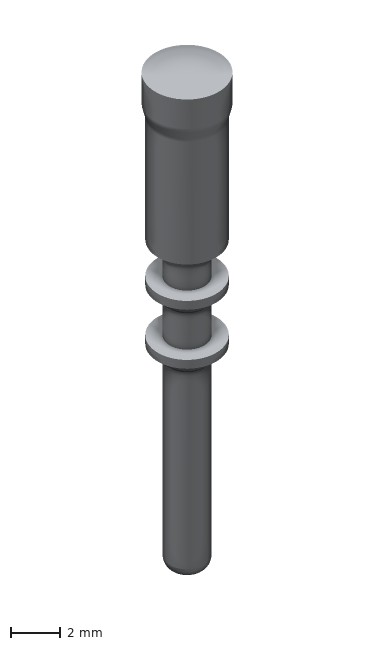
import math

import cadquery as cq

total_length = 25.12

head_radius = 3.7 / 2
body_radius = 3.4 / 2
pin_radius = 2.0 / 2

head_length = 1.5
taper_angle = math.radians(15)
taper_blend_radius = 0.7

body_bottom_z = 16.62
upper_collar_top_z = 14.77
collar_pitch = 3.0
collar_count = 2

collar_rim_thickness = 0.45
collar_cone_height = body_radius - pin_radius

tip_fillet_radius = 0.6


def make_pin():
    """Plain cylinder from the tip to the body, rounded at the tip."""
    pin = cq.Workplane("XY").circle(pin_radius).extrude(body_bottom_z)
    return pin.faces("<Z").edges().fillet(tip_fillet_radius)


def arc_point(center, radius, angle):
    """Point on a circle in the (r, z) half plane."""
    return (center[0] + radius * math.cos(angle), center[1] + radius * math.sin(angle))


def make_head_and_body():
    """Revolved head and body, joined by a cone with a tangent arc at each end."""
    shoulder_z = total_length - head_length
    shoulder_center = (head_radius - taper_blend_radius, shoulder_z)
    shoulder_mid = arc_point(shoulder_center, taper_blend_radius, -taper_angle / 2)
    cone_top = arc_point(shoulder_center, taper_blend_radius, -taper_angle)

    cone_bottom_radius = body_radius + taper_blend_radius * (1 - math.cos(taper_angle))
    cone_height = (cone_top[0] - cone_bottom_radius) / math.tan(taper_angle)
    cone_bottom = (cone_bottom_radius, cone_top[1] - cone_height)
    blend_end_z = cone_bottom[1] - taper_blend_radius * math.sin(taper_angle)
    blend_center = (body_radius + taper_blend_radius, blend_end_z)
    blend_mid = arc_point(blend_center, taper_blend_radius, math.pi - taper_angle / 2)

    profile = (
        cq.Workplane("XZ")
        .moveTo(0, total_length)
        .lineTo(head_radius, total_length)
        .lineTo(head_radius, shoulder_z)
        .threePointArc(shoulder_mid, cone_top)
        .lineTo(*cone_bottom)
        .threePointArc(blend_mid, (body_radius, blend_end_z))
        .lineTo(body_radius, body_bottom_z)
        .lineTo(0, body_bottom_z)
        .close()
    )
    return profile.revolve(360, (0, 0, 0), (0, 1, 0))


def make_collar(top_z):
    """Flat-topped collar whose underside tapers down to the pin."""
    rim_bottom_z = top_z - collar_rim_thickness
    profile = (
        cq.Workplane("XZ")
        .moveTo(0, top_z)
        .lineTo(body_radius, top_z)
        .lineTo(body_radius, rim_bottom_z)
        .lineTo(pin_radius, rim_bottom_z - collar_cone_height)
        .lineTo(0, rim_bottom_z - collar_cone_height)
        .close()
    )
    return profile.revolve(360, (0, 0, 0), (0, 1, 0))


result = make_pin().union(make_head_and_body())
for index in range(collar_count):
    result = result.union(make_collar(upper_collar_top_z - index * collar_pitch))